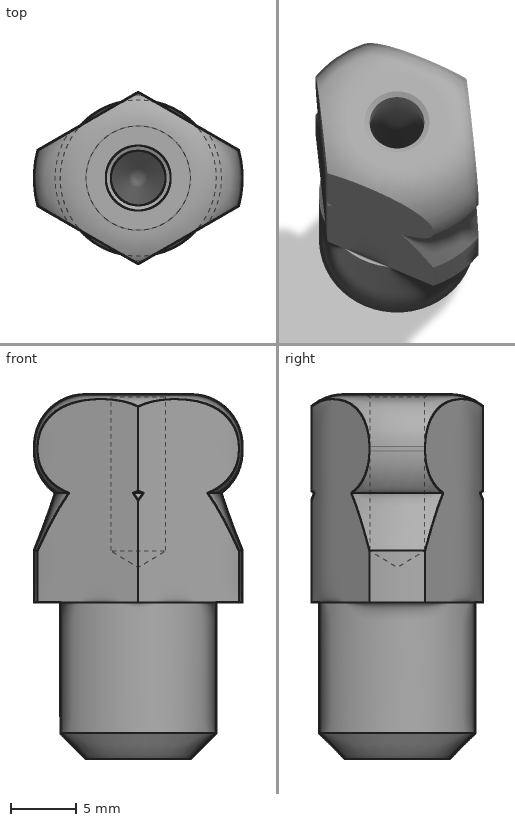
import cadquery as cq
import math

total_height = 28.0
shank_radius = 6.0
shank_length = 12.0
shank_chamfer = 2.0

head_radius = 8.0
head_top_radius = 4.0
head_corner_radius = head_radius - head_top_radius
head_band_height = 0.35
skirt_top_z = 16.02
neck_z = 20.4
across_flats = 11.42
flat_angle = 30.0

bore_radius = 2.1
bore_depth = 12.05
bore_tip_angle = 118.0
countersink_radius = 2.5
countersink_angle = 120.0
countersink_depth = (countersink_radius - bore_radius) / math.tan(math.radians(countersink_angle / 2))


def make_shank():
    return (
        cq.Workplane("XY")
        .circle(shank_radius)
        .extrude(shank_length)
        .faces("<Z")
        .chamfer(shank_chamfer)
    )


def make_turned_head():
    """Rounded ball-like top, narrow neck and conical skirt above a straight collar."""
    band_top_z = total_height - head_corner_radius
    band_bottom_z = band_top_z - head_band_height
    neck_angle = math.asin((band_bottom_z - neck_z) / head_corner_radius)

    def upper_arc_point(angle):
        return (
            head_top_radius + head_corner_radius * math.cos(angle),
            band_top_z + head_corner_radius * math.sin(angle),
        )

    def lower_arc_point(angle):
        return (
            head_top_radius + head_corner_radius * math.cos(angle),
            band_bottom_z - head_corner_radius * math.sin(angle),
        )

    return (
        cq.Workplane("XZ")
        .moveTo(0, shank_length)
        .lineTo(head_radius, shank_length)
        .lineTo(head_radius, skirt_top_z)
        .lineTo(*lower_arc_point(neck_angle))
        .threePointArc(lower_arc_point(neck_angle / 2), (head_radius, band_bottom_z))
        .lineTo(head_radius, band_top_z)
        .threePointArc(upper_arc_point(math.pi / 4), (head_top_radius, total_height))
        .lineTo(0, total_height)
        .close()
        .revolve(360, (0, 0), (0, 1))
    )


def make_flats():
    """Rhombic prism whose four sides are the flats of the head."""
    slope = math.radians(flat_angle)
    flat_corner_x = across_flats / 2 / math.sin(slope)
    flat_corner_y = across_flats / 2 / math.cos(slope)
    corners = [
        (flat_corner_x, 0),
        (0, flat_corner_y),
        (-flat_corner_x, 0),
        (0, -flat_corner_y),
    ]
    return cq.Workplane("XY").polyline(corners).close().extrude(total_height)


def make_bore():
    """Blind drilled hole with a conical tip and a countersunk mouth."""
    bore_bottom_z = total_height - bore_depth
    tip_length = bore_radius / math.tan(math.radians(bore_tip_angle / 2))
    return (
        cq.Workplane("XZ")
        .moveTo(0, bore_bottom_z - tip_length)
        .lineTo(bore_radius, bore_bottom_z)
        .lineTo(bore_radius, total_height - countersink_depth)
        .lineTo(countersink_radius, total_height)
        .lineTo(0, total_height)
        .close()
        .revolve(360, (0, 0), (0, 1))
    )


head = make_turned_head().intersect(make_flats())
result = make_shank().union(head).cut(make_bore())